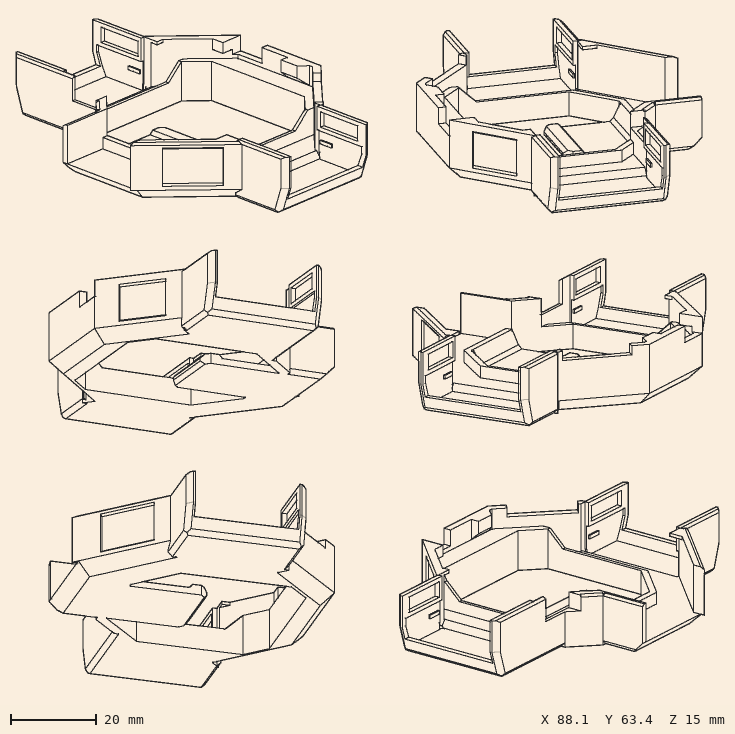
import cadquery as cq
import math

height = 15.0
half_length = 44.03

back_y = 30.17
back_half = 12.85
floor_front_y = -32.1
overall_width = 63.43
front_tip_y = back_y - overall_width
front_wall_x = -10.9
front_wall_inner_x = -9.5
front_tip_x = 11.8
diagonal_reach = back_half + back_y
front_right_reach = front_tip_x - front_tip_y
front_left_reach = 31.6
wall = 2.0
front_right_wall = 2.2
back_wall = 1.9
back_wall_inner_y = back_y - back_wall
inner_reach = diagonal_reach - wall * math.sqrt(2)
front_right_inner_reach = front_right_reach - front_right_wall * math.sqrt(2)
front_left_inner_reach = 28.1
floor_top = 3.1
frame_half = 28.6

opening_left, opening_right = -20.06, 19.6
opening_front, opening_back = -18.5, 22.7
opening_back_cut = 4.95
opening_front_right_cut = 9.3
rim_top = 6.0
rim_side = 0.9
rim_front = 1.6
platform_top = 10.0
rim_slope_low_y, rim_slope_high_y = 13.4, 17.7

arm_half_width = 14.6
arm_shift_y = 0.25
arm_inner_half = 12.68
arm_lower_half = 13.3
arm_wide_half = 13.7
arm_root = 28.0
arm_corner_chamfer = 1.4
arm_bottom_chamfer = 1.1
arm_floor_top = 1.45
arm_underside_x = 40.6
arm_slope_x, arm_slope_z = 42.1, 7.1
lip_top = 3.9
lip_inner_x, lip_foot_x = 41.5, 40.3
jamb_x = 42.7
band_start_x = 28.45
band_bottom = 9.0
pocket_x = (29.5, 41.3)
pocket_z = (10.0, 13.9)
pocket_depth = 1.2
ridge_x = (29.2, 32.8)
ridge_z = (5.6, 6.5)
ridge_depth = 0.4
step_run = 1.3
step_x = {-1: 27.3, 1: 28.55}

top_chamfer_run, top_chamfer_drop = 0.75, 0.5
front_left_top = 12.85
low_wall_top = 8.9
low_wall_x = (-24.7, -14.6)
back_notch_x = (-back_half, -4.3)
back_notch_bottom = 11.0
diagonal_notch_x = (15.9, 27.8)
diagonal_notch_bottom = 12.8

back_left_recess_x, back_left_recess_top = (-25.35, -17.15), 13.2
front_right_recess_x, front_right_recess_top = (17.1, 27.1), 13.8
recess_bottom = 4.1
recess_depth = 0.6
recess_taper = 0.45


def prism(points, bottom, top):
    """Vertical prism over a plan outline."""
    return cq.Workplane("XY").workplane(offset=bottom).polyline(points).close().extrude(top - bottom)


def block(x, y, z):
    """Box given by its (low, high) range on each axis."""
    size = [high - low for low, high in (x, y, z)]
    return cq.Workplane("XY").box(*size, centered=False).translate((x[0], y[0], z[0]))


def edge_bevel(start, end, z_edge, run, drop):
    """Wedge that bevels a wall whose outer face is on the right of start -> end.

    A positive drop bevels a top edge, a negative drop a bottom edge.
    """
    dx, dy = end[0] - start[0], end[1] - start[1]
    plane = cq.Plane(origin=(start[0], start[1], z_edge), xDir=(dy, -dx, 0), normal=(dx, dy, 0))
    section = [(-run, 0), (0, drop), (run, drop), (run, -drop), (-run, -drop)]
    return cq.Workplane(plane).polyline(section).close().extrude(math.hypot(dx, dy))


def lengthwise(points, half_width):
    """Extrude an X-Z outline equally to both sides of the X axis."""
    return cq.Workplane("XZ").polyline(points).close().extrude(half_width, both=True)


def crosswise(points, left, right):
    """Extrude a Y-Z outline from x = left to x = right."""
    return cq.Workplane("YZ").workplane(offset=left).polyline(points).close().extrude(right - left)


left_back = (-frame_half, diagonal_reach - frame_half)
back_left = (-back_half, back_y)
back_right = (back_half, back_y)
right_back = (frame_half, diagonal_reach - frame_half)
left_front_y = arm_shift_y - arm_half_width
right_front_y = -arm_shift_y - arm_half_width
right_front = (front_right_reach + right_front_y, right_front_y)
front_tip = (front_tip_x, front_tip_y)
front_wall_end = (front_wall_x, floor_front_y)
front_wall_corner = (front_wall_x, -front_left_reach - front_wall_x)
left_front = (-front_left_reach - left_front_y, left_front_y)


def frame_shell():
    """Frame walls and floor, with bevels under the outer edges."""
    outer = prism(
        [left_back, back_left, back_right, right_back, (frame_half, right_front_y), right_front, front_tip,
         (front_tip_x, floor_front_y), front_wall_end, front_wall_corner, left_front,
         (-frame_half, left_front_y)],
        0, height)
    left_back_inner = arm_shift_y + arm_wide_half
    left_front_inner = arm_shift_y - arm_wide_half
    right_back_inner = -arm_shift_y + arm_wide_half
    right_front_inner = -arm_shift_y - arm_wide_half
    back_inner_half = inner_reach - back_wall_inner_y
    cavity = prism(
        [(-frame_half, left_back_inner), (left_back_inner - inner_reach, left_back_inner),
         (-back_inner_half, back_wall_inner_y), (back_inner_half, back_wall_inner_y),
         (inner_reach - right_back_inner, right_back_inner), (frame_half, right_back_inner),
         (frame_half, right_front_inner),
         (front_right_inner_reach + right_front_inner, right_front_inner),
         (front_tip_x, front_tip_x - front_right_inner_reach),
         (front_tip_x, front_tip_y), (front_wall_inner_x, front_tip_y),
         (front_wall_inner_x, -front_left_inner_reach - front_wall_inner_x),
         (-front_left_inner_reach - left_front_inner, left_front_inner),
         (-frame_half, left_front_inner)],
        floor_top, height)
    shell = outer.cut(cavity)
    for start, end in ((back_left, left_back), (back_right, back_left), (right_back, back_right),
                       (front_tip, right_front)):
        shell = shell.cut(edge_bevel(start, end, 0, floor_top, -floor_top))
    front_edge_end = (right_front[0], floor_front_y)
    shell = shell.cut(edge_bevel(front_wall_end, front_edge_end, 0, floor_top, -floor_top))
    for start, end in ((front_wall_corner, front_wall_end), ((-frame_half, left_front_y), left_front)):
        shell = shell.cut(edge_bevel(start, end, 0, arm_bottom_chamfer, -arm_bottom_chamfer))
    return shell


def arm_corner_cut(flank, lean, bottom, top):
    """Leaning triangular prism that cuts the outer corner off an arm wall.

    The corner edge stands at half_length at the level arm_slope_z and leans by `lean` per unit of height.
    """
    foot_x = half_length + lean * (bottom - arm_slope_z)
    edge_y = flank * arm_half_width
    reach = arm_corner_chamfer
    far_y = edge_y - 2 * flank * reach
    corner = [(foot_x - reach, edge_y), (foot_x + reach, edge_y), (foot_x + reach, far_y)]
    outline = cq.Wire.makePolygon([cq.Vector(x, y, bottom) for x, y in corner], close=True)
    rise = top - bottom
    return cq.Workplane(obj=cq.Solid.extrudeLinear(outline, [], cq.Vector(lean * rise, 0, rise)))


def arm(side):
    """Open tray at one end, built along +X; side is -1 for the left arm and +1 for the right arm."""
    outer = [(arm_root, 0), (arm_underside_x, 0), (arm_slope_x, arm_bottom_chamfer),
             (half_length, arm_slope_z), (half_length, height), (arm_root, height)]
    floor_and_lip = [(arm_root, arm_floor_top), (lip_foot_x, arm_floor_top), (lip_inner_x, lip_top)]
    between_bands = floor_and_lip + [(half_length, lip_top), (half_length, height), (arm_root, height)]
    below_bands = floor_and_lip + [(jamb_x, arm_slope_z), (jamb_x, band_bottom), (arm_root, band_bottom)]
    root_end = [(arm_root, arm_floor_top), (band_start_x, arm_floor_top), (band_start_x, height),
                (arm_root, height)]
    tray = lengthwise(outer, arm_half_width)
    tray = tray.cut(lengthwise(between_bands, arm_inner_half))
    tray = tray.cut(lengthwise(below_bands, arm_lower_half))
    tray = tray.cut(lengthwise(root_end, arm_wide_half))
    pocket_half = arm_inner_half + pocket_depth
    tray = tray.cut(block(pocket_x, (-pocket_half, pocket_half), pocket_z))

    slope_lean = (half_length - arm_slope_x) / (arm_slope_z - arm_bottom_chamfer)
    for flank in (-1, 1):
        ridge_y = sorted((flank * arm_half_width, flank * (arm_lower_half - ridge_depth)))
        tray = tray.union(block(ridge_x, ridge_y, ridge_z))
        tray = tray.cut(arm_corner_cut(flank, 0, arm_slope_z, height))
        tray = tray.cut(arm_corner_cut(flank, slope_lean, 0, arm_slope_z))
        root = (arm_root, flank * arm_half_width)
        tip = (half_length, flank * arm_half_width)
        start, end = (root, tip) if flank < 0 else (tip, root)
        tray = tray.cut(edge_bevel(start, end, height, top_chamfer_run, top_chamfer_drop))
        tray = tray.cut(edge_bevel(start, end, 0, arm_bottom_chamfer, -arm_bottom_chamfer))
    return place_on_side(tray, side)


def place_on_side(shape, side):
    """Turn a shape built along +X to its side and shift it onto the centre line of that arm."""
    if side < 0:
        shape = shape.rotate((0, 0, 0), (0, 0, 1), 180)
    return shape.translate((0, -side * arm_shift_y, 0))


def opening_outline(grow_side, grow_front):
    """Plan of the central opening, optionally grown at the sides and front."""
    left, right = opening_left - grow_side, opening_right + grow_side
    front = opening_front - grow_front
    reach = opening_right - opening_front - opening_front_right_cut + grow_front * math.sqrt(2)
    left_reach = front_left_inner_reach + grow_front * math.sqrt(2)
    cut = opening_back_cut + grow_side
    return [(left, opening_back - cut), (left + cut, opening_back), (right - cut, opening_back),
            (right, opening_back - cut), (right, right - reach), (reach + front, front),
            (-left_reach - front, front), (left, -left_reach - left)]


def rim_and_platform():
    """Raised rim round the opening, climbing to the platform along the back."""
    rim = prism(opening_outline(rim_side, rim_front), 0, rim_top)
    left, right = opening_left - rim_side, opening_right + rim_side
    platform = prism(
        [(left, rim_slope_high_y), (left, inner_reach + left), (-back_half, back_y - wall),
         (back_half, back_y - wall), (right, inner_reach - right), (right, rim_slope_high_y)],
        floor_top, platform_top)
    slope = crosswise(
        [(rim_slope_low_y, 0), (rim_slope_low_y, rim_top),
         (rim_slope_high_y, platform_top), (rim_slope_high_y, 0)],
        left, right)
    return rim.union(platform).union(slope)


def tongue():
    """Low tongue with a raised tip, reaching from the front rim into the opening."""
    left, right = front_wall_inner_x, 9.3
    tip_y, tip_top = 0.8, 2.5
    tip_corner, tip_chamfer = 1.9, 0.9
    tongue_top = 1.6
    step_high_y, step_low_y = -3.2, -4.1
    root_y, root_rise = -15.9, 0.9
    bar = crosswise(
        [(opening_front, 0), (tip_y - tip_chamfer, 0), (tip_y, tip_chamfer), (tip_y, tip_top - tip_chamfer),
         (tip_y - tip_chamfer, tip_top), (step_high_y, tip_top), (step_low_y, tongue_top),
         (root_y, tongue_top), (root_y - root_rise, tongue_top + root_rise), (opening_front, rim_top)],
        left, right)
    return bar.edges("|Z and >Y").chamfer(tip_corner)


def diagonal_recess(x_range, reach, y_sign, top):
    """Shallow window recess in the outer face of the diagonal wall where |x| + |y| = reach."""
    left, right = x_range
    middle = (left + right) / 2
    x_sign = -y_sign
    center = (middle, y_sign * (reach - abs(middle)), 0)
    plane = cq.Plane(origin=center, xDir=(x_sign, y_sign, 0), normal=(y_sign, -x_sign, 0))
    section = [(0, recess_bottom), (-recess_depth, recess_bottom + recess_taper),
               (-recess_depth, top - recess_taper), (0, top)]
    half_run = (right - left) / math.sqrt(2)
    return cq.Workplane(plane).polyline(section).close().extrude(half_run, both=True)


def floor_step(side):
    """Space above the sloped step from the frame floor down to an arm floor."""
    foot = step_x[side]
    section = [(foot - step_run, floor_top), (foot, arm_floor_top),
               (frame_half, arm_floor_top), (frame_half, floor_top)]
    return place_on_side(lengthwise(section, arm_wide_half), side)


def back_catch():
    """Catch on the back wall with a sloping underside."""
    left, right = 3.9, 8.9
    reach = 2.1
    underside_rise = 1.9
    face_y = back_wall_inner_y - reach
    plan = prism([(left, back_wall_inner_y), (left, face_y), (right, face_y),
                  (right + reach, back_wall_inner_y)], 0, height)
    profile = [(back_wall_inner_y, platform_top), (face_y, platform_top + underside_rise),
               (face_y, height), (back_wall_inner_y, height)]
    return plan.intersect(crosswise(profile, left, right + reach))


def corner_shelves():
    """Thin triangular shelves at the wall tops where straight and diagonal walls meet."""
    left_x, left_y = -24.3, arm_shift_y + arm_wide_half
    back_shelf_y = 24.1
    back_thickness, arm_thickness = 2.75, 0.8
    right_x, right_y = 24.4, -arm_shift_y - arm_wide_half
    shelves = [
        ([(-back_half, back_y), (-back_half, back_shelf_y), (back_shelf_y - inner_reach, back_shelf_y)],
         back_thickness),
        ([(left_x, inner_reach + left_x), (left_x, left_y), (left_y - inner_reach, left_y)],
         arm_thickness),
        ([(right_x, right_x - front_right_inner_reach), (right_x, right_y),
          (front_right_inner_reach + right_y, right_y)],
         arm_thickness),
    ]
    for outline, thickness in shelves:
        yield prism(outline, height - thickness, height)


def wall_top_cuts():
    """Lowered and notched stretches of the frame walls."""
    low_left, low_right = low_wall_x
    wall_back_y = left_front_y + wall
    yield block((low_right, front_wall_inner_x), (floor_front_y, wall_back_y), (front_left_top, height))
    yield block((low_left, low_right), (front_wall_corner[1], wall_back_y), (low_wall_top, height))
    yield block(back_notch_x, (back_wall_inner_y - wall, back_y), (back_notch_bottom, height))
    start, end = diagonal_notch_x
    span = [(start, diagonal_reach - start), (end, diagonal_reach - end)]
    yield prism(span + [(x - wall, y - wall) for x, y in reversed(span)], diagonal_notch_bottom, height)


def wall_top_chamfers():
    """Chamfers along the outer top edges of the front walls."""
    low_left, low_right = low_wall_x
    low_wall_corner = (low_right, -front_left_reach - low_right)
    edges = [
        (front_tip, right_front, height),
        ((-frame_half, left_front_y), (low_left, left_front_y), height),
        (low_wall_corner, front_wall_corner, front_left_top),
        (front_wall_corner, front_wall_end, front_left_top),
    ]
    for start, end, top in edges:
        yield edge_bevel(start, end, top, top_chamfer_run, top_chamfer_drop)


frame = frame_shell().union(rim_and_platform())
frame = frame.cut(prism(opening_outline(0, 0), 0, height))
frame = frame.union(back_catch())
for shelf in corner_shelves():
    frame = frame.union(shelf)
for cut in wall_top_cuts():
    frame = frame.cut(cut)
for chamfer in wall_top_chamfers():
    frame = frame.cut(chamfer)
result = frame.union(tongue())
for side in (-1, 1):
    result = result.union(arm(side)).cut(floor_step(side))
result = result.cut(diagonal_recess(back_left_recess_x, diagonal_reach, 1, back_left_recess_top))
result = result.cut(diagonal_recess(front_right_recess_x, front_right_reach, -1, front_right_recess_top))